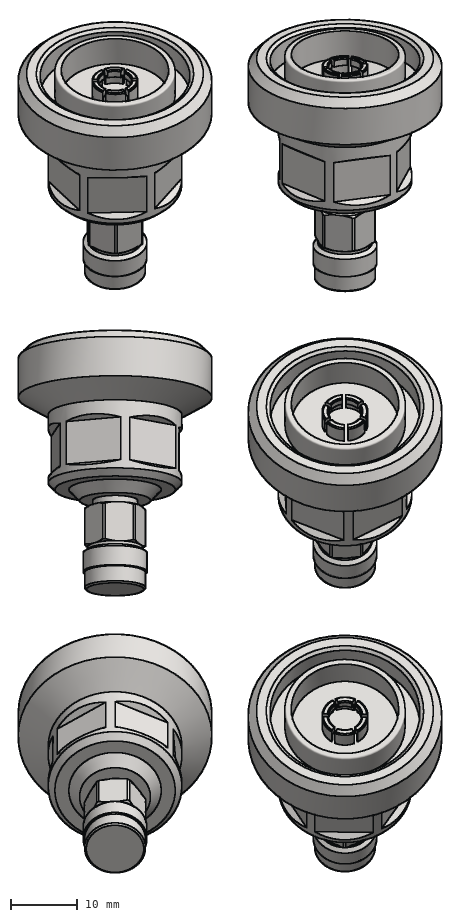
import cadquery as cq
import math

total_height = 37.35
overlap = 0.37

collar_radius = 14.5
collar_top = 36.7
collar_edge_chamfer = 1.27
collar_straight_bottom = 29.45
collar_bottom = 26.78

body_radius = 10.0
body_edge_chamfer = 1.0
body_bottom = 15.3

flat_count = 6
flat_distance = 9.0
flat_top = 24.15
flat_bottom = 17.63
flat_end_slope = 30.0

cone_top_radius = 6.9
cone_bottom_radius = 5.3
cone_bottom = 13.65
stem_radius = 3.35

nut_hex_top = 12.5
nut_hex_bottom = 6.55
nut_side_count = 6
nut_across_flats = 8.15
nut_corner_radius = 4.6
nut_edge_chamfer_height = 0.25
nut_edge_chamfer_width = 0.45
nut_neck_radius = nut_across_flats / 2
nut_neck_bottom = 6.05
nut_band_radius = 4.78
nut_band_top = 5.6
nut_band_bottom = 2.7
nut_tip_radius = 4.55
nut_tip_top = 2.58
nut_tip_chamfer = 0.25

socket_floor = 32.7
socket_radius = 11.2
socket_mouth_radius = 11.75
socket_mouth_depth = 0.37
sleeve_outer_radius = 9.0
sleeve_inner_radius = 8.03
sleeve_edge_fillet = 0.25

contact_top = 35.55
contact_outer_radius = 3.45
contact_lip_radius = 2.45
contact_lip_bottom = 34.32
contact_bore_radius = 3.1
contact_edge_chamfer = 0.2
contact_slot_width = 0.55
contact_slot_count = 3


def revolve_profile(points):
    """Revolve (radius, z) points about the Z axis."""
    return cq.Workplane("XZ").polyline(points).close().revolve(360, (0, 0, 0), (0, 1, 0))


def make_turned_body():
    """Collar, wrench body, cone and stem as a solid of revolution."""
    return revolve_profile([
        (0, nut_hex_bottom),
        (stem_radius, nut_hex_bottom),
        (stem_radius, cone_bottom),
        (cone_bottom_radius, cone_bottom),
        (cone_top_radius, body_bottom),
        (body_radius - body_edge_chamfer, body_bottom),
        (body_radius, body_bottom + body_edge_chamfer),
        (body_radius, collar_bottom),
        (collar_radius, collar_straight_bottom),
        (collar_radius, collar_top - collar_edge_chamfer),
        (collar_radius - collar_edge_chamfer, collar_top),
        (0, collar_top),
    ])


def make_flat_cutters():
    """Six wedge-ended bars that cut the wrench flats, the first facing +Y."""
    cut_depth = body_radius + overlap - flat_distance
    rise = cut_depth * math.tan(math.radians(flat_end_slope))
    outer = flat_distance + cut_depth
    bar = (
        cq.Workplane("YZ")
        .polyline([
            (flat_distance, flat_bottom),
            (outer, flat_bottom - rise),
            (outer, flat_top + rise),
            (flat_distance, flat_top),
        ])
        .close()
        .extrude(body_radius, both=True)
    )
    cutters = bar
    for index in range(1, flat_count):
        cutters = cutters.union(bar.rotate((0, 0, 0), (0, 0, 1), index * 360 / flat_count))
    return cutters


def make_socket():
    """Round recess with a flared mouth, open at the top of the collar."""
    return revolve_profile([
        (0, socket_floor),
        (socket_radius, socket_floor),
        (socket_radius, collar_top - socket_mouth_depth),
        (socket_mouth_radius, collar_top),
        (0, collar_top),
    ])


def make_sleeve():
    """Thin ring standing on the socket floor, rising just above the collar."""
    base = socket_floor - overlap
    sleeve = cq.Workplane("XY", origin=(0, 0, base)).circle(sleeve_outer_radius).extrude(total_height - base)
    sleeve = sleeve.faces(">Z").edges().fillet(sleeve_edge_fillet)
    return sleeve.faces(">Z").workplane().circle(sleeve_inner_radius).cutThruAll()


def make_contact():
    """Ring of spring fingers separated by slots down to the socket floor."""
    contact = revolve_profile([
        (contact_bore_radius, socket_floor - overlap),
        (contact_outer_radius, socket_floor - overlap),
        (contact_outer_radius, contact_top - contact_edge_chamfer),
        (contact_outer_radius - contact_edge_chamfer, contact_top),
        (contact_lip_radius + contact_edge_chamfer, contact_top),
        (contact_lip_radius, contact_top - contact_edge_chamfer),
        (contact_lip_radius, contact_lip_bottom),
        (contact_bore_radius, contact_lip_bottom),
    ])
    slot = (
        cq.Workplane("XY", origin=(0, 0, socket_floor))
        .rect(2 * contact_outer_radius + overlap, contact_slot_width)
        .extrude(contact_top - socket_floor + overlap)
    )
    for index in range(contact_slot_count):
        contact = contact.cut(slot.rotate((0, 0, 0), (0, 0, 1), index * 180 / contact_slot_count))
    return contact


def make_nut():
    """Hexagonal nut with turned corners above a stepped round band."""
    hex_height = nut_hex_top - nut_hex_bottom
    hexagon = (
        cq.Workplane("XY", origin=(0, 0, nut_hex_bottom))
        .polygon(nut_side_count, nut_across_flats, circumscribed=True)
        .extrude(hex_height)
    )
    turned_corners = revolve_profile([
        (0, nut_hex_bottom),
        (nut_corner_radius - nut_edge_chamfer_width, nut_hex_bottom),
        (nut_corner_radius, nut_hex_bottom + nut_edge_chamfer_height),
        (nut_corner_radius, nut_hex_top - nut_edge_chamfer_height),
        (nut_corner_radius - nut_edge_chamfer_width, nut_hex_top),
        (0, nut_hex_top),
    ])
    band = revolve_profile([
        (0, 0),
        (nut_tip_radius - nut_tip_chamfer, 0),
        (nut_tip_radius, nut_tip_chamfer),
        (nut_tip_radius, nut_tip_top),
        (nut_band_radius, nut_band_bottom),
        (nut_band_radius, nut_band_top),
        (nut_neck_radius, nut_neck_bottom),
        (nut_neck_radius, nut_hex_bottom),
        (0, nut_hex_bottom),
    ])
    return hexagon.intersect(turned_corners).union(band)


result = (
    make_turned_body()
    .cut(make_flat_cutters())
    .cut(make_socket())
    .union(make_sleeve())
    .union(make_contact())
    .union(make_nut())
)